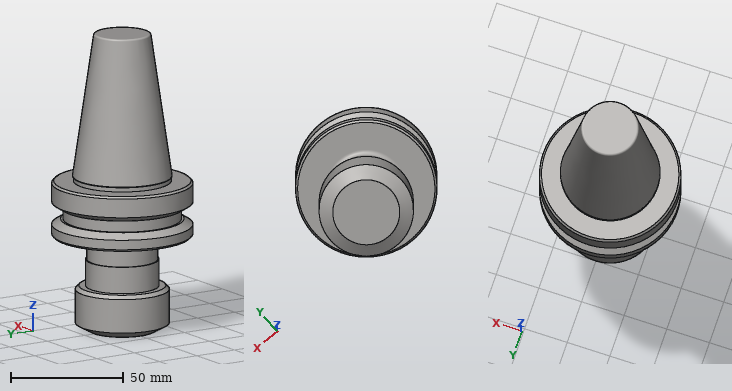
import cadquery as cq

total_height = 135.4

nut_radius = 21.0
nut_face_radius = 14.9
nut_face_bevel_height = 3.4
nut_top = 20.3
nut_top_chamfer = 1.6

lower_neck_radius = 16.4
upper_neck_radius = 15.8
neck_step_height = 32.4
neck_fillet = 2.0

flange_radius = 63.0 / 2
flange_bottom = 43.0
flange_top = 68.1
flange_chamfer = 1.0
groove_center = 53.5
groove_floor_radius = 26.4
groove_wall_radius = 27.5
groove_floor_width = 5.3
groove_mouth_width = 10.3

taper_base_height = 70.4
taper_base_radius = 22.2
taper_slope = 7 / 48
relief_radius = 21.8
relief_bevel = taper_base_radius - relief_radius
tip_fillet = 1.0
tip_radius = taper_base_radius - taper_slope * (total_height - taper_base_height)


def make_body():
    """Revolve the stepped outline of nut, neck, flange and taper."""
    outline = (
        cq.Workplane("XZ")
        .lineTo(nut_face_radius, 0)
        .lineTo(nut_radius, nut_face_bevel_height)
        .lineTo(nut_radius, nut_top - nut_top_chamfer)
        .lineTo(nut_radius - nut_top_chamfer, nut_top)
        .lineTo(lower_neck_radius, nut_top)
        .lineTo(lower_neck_radius, neck_step_height)
        .lineTo(upper_neck_radius, neck_step_height)
        .lineTo(upper_neck_radius, flange_bottom - neck_fillet)
        .radiusArc((upper_neck_radius + neck_fillet, flange_bottom), neck_fillet)
        .lineTo(flange_radius - flange_chamfer, flange_bottom)
        .lineTo(flange_radius, flange_bottom + flange_chamfer)
        .lineTo(flange_radius, flange_top - flange_chamfer)
        .lineTo(flange_radius - flange_chamfer, flange_top)
        .lineTo(relief_radius, flange_top)
        .lineTo(relief_radius, taper_base_height - relief_bevel)
        .lineTo(taper_base_radius, taper_base_height)
        .lineTo(tip_radius, total_height)
        .lineTo(0, total_height)
        .close()
    )
    body = outline.revolve(360, (0, 0, 0), (0, 1, 0))
    return body.faces(">Z").edges().fillet(tip_fillet)


def make_groove():
    """Ring of material removed for the gripper groove: sloped walls, stepped floor."""
    half_floor = groove_floor_width / 2
    half_mouth = groove_mouth_width / 2
    return (
        cq.Workplane("XZ")
        .moveTo(groove_floor_radius, groove_center - half_floor)
        .lineTo(groove_wall_radius, groove_center - half_floor)
        .lineTo(flange_radius, groove_center - half_mouth)
        .lineTo(flange_radius, groove_center + half_mouth)
        .lineTo(groove_wall_radius, groove_center + half_floor)
        .lineTo(groove_floor_radius, groove_center + half_floor)
        .close()
        .revolve(360, (0, 0, 0), (0, 1, 0))
    )


result = make_body().cut(make_groove())